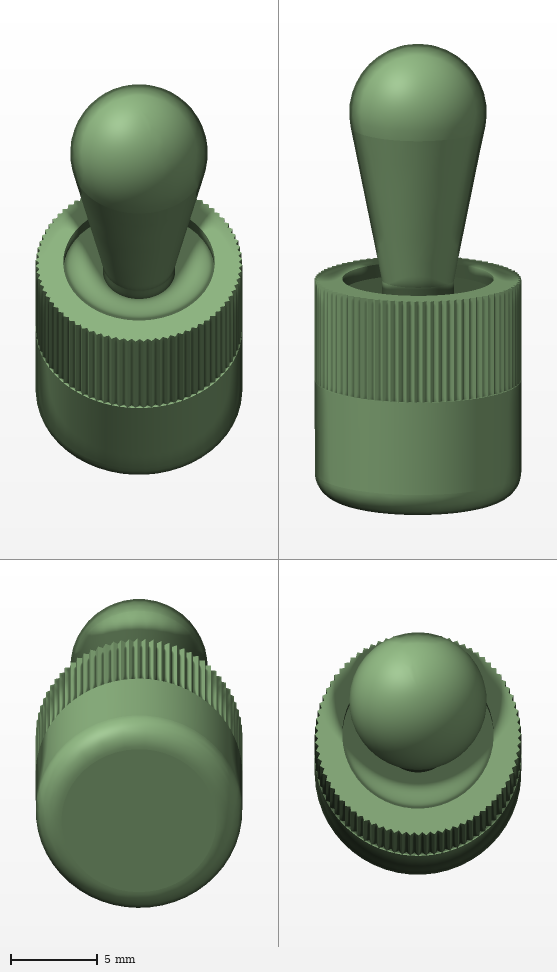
import cadquery as cq
import math

total_height = 26.9
outer_diameter = 12.0

housing_height = 13.0
bottom_fillet = 1.5
recess_diameter = 8.8
recess_depth = 0.8
floor_height = housing_height - recess_depth

knurl_height = 6.0
knurl_bottom = housing_height - knurl_height
knurl_teeth = 80
tooth_depth = 0.2

ball_radius = 4.0
neck_radius = 2.1
cone_bottom = 12.95
ball_center = total_height - ball_radius
ball_seam_drop = 0.8
ball_seam_height = ball_center - ball_seam_drop
ball_seam_radius = math.sqrt(ball_radius**2 - ball_seam_drop**2)


def polar_point(radius, angle):
    return (radius * math.cos(angle), radius * math.sin(angle))


def make_knurl():
    """Disc edged with sharp V teeth, with a root on the +X axis."""
    tip_radius = outer_diameter / 2
    root_radius = tip_radius - tooth_depth
    pitch_angle = 2 * math.pi / knurl_teeth
    outline = []
    for tooth in range(knurl_teeth):
        angle = tooth * pitch_angle
        outline.append(polar_point(root_radius, angle))
        outline.append(polar_point(tip_radius, angle + pitch_angle / 2))
    base = cq.Workplane("XY").workplane(offset=knurl_bottom)
    return base.polyline(outline).close().extrude(knurl_height)


def make_housing():
    """Knurled cup with a rounded bottom edge and a shallow round recess in its top."""
    body = cq.Workplane("XY").circle(outer_diameter / 2).extrude(knurl_bottom)
    body = body.faces("<Z").edges().fillet(bottom_fillet)
    recess_floor = cq.Workplane("XY").workplane(offset=floor_height)
    recess = recess_floor.circle(recess_diameter / 2).extrude(recess_depth)
    return body.union(make_knurl()).cut(recess)


def make_lever():
    """Ball-ended tapered pin, revolved about Z, standing on the recess floor."""
    ball_x, ball_z = polar_point(ball_radius, math.pi / 4)
    return (
        cq.Workplane("XZ")
        .moveTo(0, floor_height)
        .lineTo(neck_radius, floor_height)
        .lineTo(neck_radius, cone_bottom)
        .lineTo(ball_seam_radius, ball_seam_height)
        .threePointArc((ball_x, ball_center + ball_z), (0, total_height))
        .close()
        .revolve(360, (0, 0, 0), (0, 1, 0))
    )


housing = make_housing()
lever = make_lever()

result = cq.Compound.makeCompound([housing.val(), lever.val()])